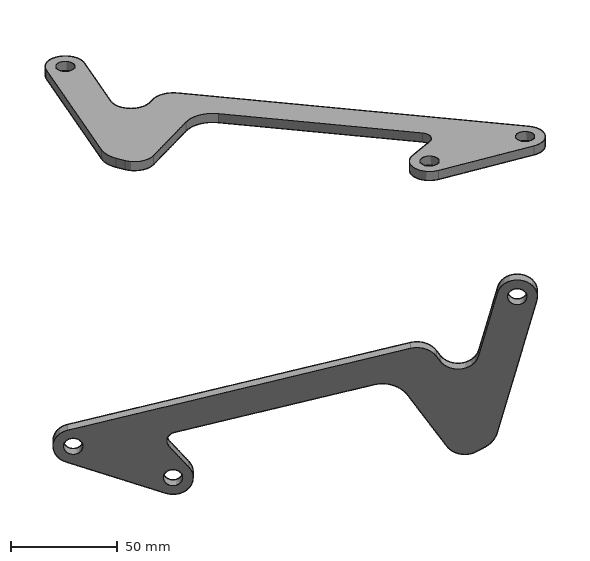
import cadquery as cq
import math

thickness = 5.0

hole_diameter = 9.0
boss_radius = 9.5
arm_hole = (0.0, 0.0)
lower_hole = (191.0, 0.0)
upper_hole = (221.0, 40.0)

post_left = 50.0
post_right = 73.2
heel_bottom = -63.73

arm_heading = -43.67
band_heading = 16.3
web_heading = -95.67
band_width = 15.1

heel_outer_radius = 10.0
heel_arm_radius = 14.0
band_underside_radius = 14.0
web_notch_radius = 5.0
shoulder_radius = 11.0
arm_notch_radius = 10.0


def direction(heading):
    """Unit vector along a heading."""
    return math.cos(math.radians(heading)), math.sin(math.radians(heading))


def shift_left(point, heading, distance):
    """Move a point to the left of a heading (to the right if distance is negative)."""
    along_x, along_y = direction(heading)
    return point[0] - along_y * distance, point[1] + along_x * distance


def boss_tangent(center, heading):
    """Edge that touches a boss and keeps it on its left."""
    return shift_left(center, heading, -boss_radius), heading


def foot(point, edge):
    """Closest point of an edge line to a point."""
    (start_x, start_y), heading = edge
    along_x, along_y = direction(heading)
    travel = (point[0] - start_x) * along_x + (point[1] - start_y) * along_y
    return start_x + travel * along_x, start_y + travel * along_y


def intersection(edge_a, edge_b):
    """Crossing point of two edge lines."""
    (ax, ay), heading_a = edge_a
    (bx, by), heading_b = edge_b
    a_dir_x, a_dir_y = direction(heading_a)
    b_dir_x, b_dir_y = direction(heading_b)
    cross = a_dir_x * b_dir_y - a_dir_y * b_dir_x
    travel = ((bx - ax) * b_dir_y - (by - ay) * b_dir_x) / cross
    return ax + travel * a_dir_x, ay + travel * a_dir_y


def rounded_corner(edge_in, edge_out, radius, convex=True, center=None):
    """Start, middle and end of the arc joining two edges; bosses give their own center."""
    side = radius if convex else -radius
    if center is None:
        inset_in = (shift_left(*edge_in, side), edge_in[1])
        inset_out = (shift_left(*edge_out, side), edge_out[1])
        center = intersection(inset_in, inset_out)
    full_turn = 360.0
    turn = (edge_out[1] - edge_in[1]) % full_turn
    if not convex:
        turn -= full_turn
    middle = shift_left(center, edge_in[1] + turn / 2, -side)
    return foot(center, edge_in), middle, foot(center, edge_out)


def bracket_corners():
    """All corner arcs of the outline, in counter-clockwise order."""
    arm_outer = boss_tangent(arm_hole, arm_heading)
    heel = ((post_left, heel_bottom), 0.0)
    post_outer = ((post_right, heel_bottom), 90.0)
    band_top = boss_tangent(upper_hole, band_heading + 180.0)
    band_underside = (shift_left(band_top[0], band_heading, -band_width), band_heading)
    web = boss_tangent(lower_hole, web_heading)
    end_rise = upper_hole[1] - lower_hole[1]
    end_run = upper_hole[0] - lower_hole[0]
    end = boss_tangent(lower_hole, math.degrees(math.atan2(end_rise, end_run)))
    post_inner = ((post_left, 0.0), -90.0)
    arm_inner = boss_tangent(arm_hole, arm_heading + 180.0)

    return [
        rounded_corner(arm_outer, heel, heel_arm_radius),
        rounded_corner(heel, post_outer, heel_outer_radius),
        rounded_corner(post_outer, band_underside, band_underside_radius, convex=False),
        rounded_corner(band_underside, web, web_notch_radius, convex=False),
        rounded_corner(web, end, boss_radius, center=lower_hole),
        rounded_corner(end, band_top, boss_radius, center=upper_hole),
        rounded_corner(band_top, post_inner, shoulder_radius),
        rounded_corner(post_inner, arm_inner, arm_notch_radius, convex=False),
        rounded_corner(arm_inner, arm_outer, boss_radius, center=arm_hole),
    ]


def plate():
    """Solid plate, with straight edges between the corner arcs."""
    corners = bracket_corners()
    first_start, first_middle, first_end = corners[0]
    outline = cq.Workplane("XY").moveTo(*first_start).threePointArc(first_middle, first_end)
    for start, middle, end in corners[1:]:
        outline = outline.lineTo(*start).threePointArc(middle, end)
    return outline.close().extrude(thickness)


def bolt_holes():
    """Cylinders that cut the bolt holes through the plate."""
    centers = [arm_hole, lower_hole, upper_hole]
    return cq.Workplane("XY").pushPoints(centers).circle(hole_diameter / 2).extrude(thickness)


result = plate().cut(bolt_holes())